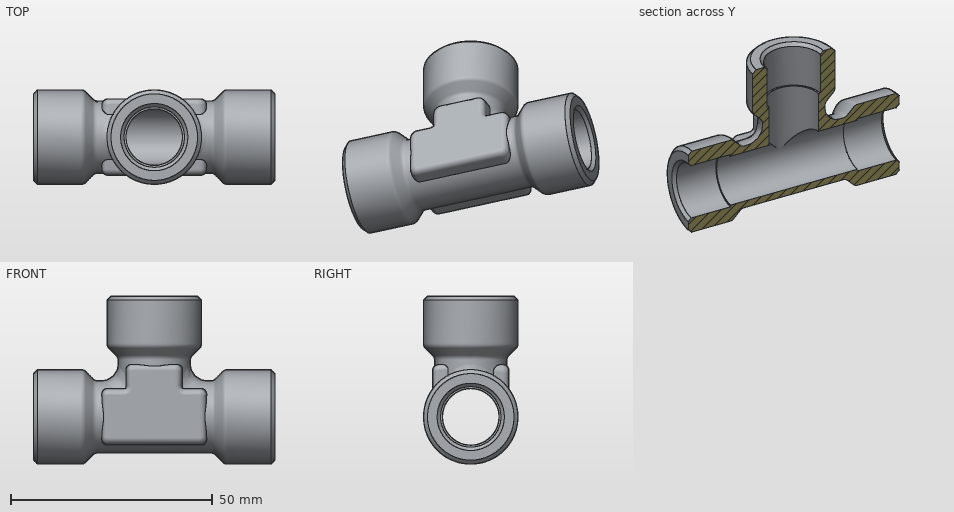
import cadquery as cq
import math

port_reach = 30.0
collar_radius = 11.75
collar_length = 12.5
collar_chamfer = 1.0
neck_radius = 9.0
cone_angle = 45.0
cone_blend_radius = 1.5

crotch_radius = 4.0
crotch_half_width = 8.0

bore_radius = 7.0
socket_radius = 7.5
socket_depth = 12.0
mouth_chamfer = 0.85

pad_face_distance = 9.5
pad_reach = 12.85
pad_shoulder = 6.7
pad_draft_angle = 5.0
pad_edge_radius = 1.5
front_corner_radius = 1.5
back_corner_radius = 2.0

pick_margin = 1.0


def on_each_port(solid):
    """Copy a solid lying along +Z to the branch and to both ends of the run."""
    origin = (0, 0, 0)
    y_axis = (0, 1, 0)
    return [solid.rotate(origin, y_axis, angle) for angle in (-90, 0, 90)]


def turn_about_z(profile):
    """Close a half profile drawn in the XZ plane and turn it about Z."""
    return profile.close().revolve(360, (0, 0, 0), (0, 1, 0))


def make_necks():
    """Crossing necks with a blended crotch between run and branch."""
    neck_end = port_reach - collar_length
    run = cq.Workplane("YZ").circle(neck_radius).extrude(neck_end, both=True)
    branch = cq.Workplane("XY").circle(neck_radius).extrude(neck_end)
    crossing = run.union(branch)

    slice_size = 2 * neck_end
    core = crossing.intersect(
        cq.Workplane("XY").box(slice_size, 2 * crotch_half_width, slice_size)
    )
    pick_reach = neck_radius + pick_margin
    pick_half_width = crotch_half_width - pick_margin
    seam = core.edges(cq.selectors.BoxSelector(
        (-pick_reach, -pick_half_width, pick_margin),
        (pick_reach, pick_half_width, pick_reach),
    ))
    return crossing.union(seam.fillet(crotch_radius))


def make_collar():
    """Collar with a cone that blends smoothly into it and into the neck."""
    slope = math.radians(cone_angle)
    cone_start = port_reach - collar_length
    cone_end = cone_start - (collar_radius - neck_radius) / math.tan(slope)

    tangent = cone_blend_radius * math.tan(slope / 2)
    tangent_out = tangent * math.sin(slope)
    tangent_up = tangent * math.cos(slope)
    middle_out = cone_blend_radius * (1 - math.cos(slope / 2))
    middle_up = cone_blend_radius * math.sin(slope / 2)
    neck_tangent = cone_end - tangent
    collar_tangent = cone_start + tangent

    profile = (
        cq.Workplane("XZ")
        .moveTo(0, neck_tangent)
        .lineTo(neck_radius, neck_tangent)
        .threePointArc(
            (neck_radius + middle_out, neck_tangent + middle_up),
            (neck_radius + tangent_out, cone_end + tangent_up),
        )
        .lineTo(collar_radius - tangent_out, cone_start - tangent_up)
        .threePointArc(
            (collar_radius - middle_out, collar_tangent - middle_up),
            (collar_radius, collar_tangent),
        )
        .lineTo(collar_radius, port_reach - collar_chamfer)
        .lineTo(collar_radius - collar_chamfer, port_reach)
        .lineTo(0, port_reach)
    )
    return turn_about_z(profile)


def make_bore():
    """Bore from the centre of the tee, wider socket and chamfered mouth of one port."""
    profile = (
        cq.Workplane("XZ")
        .lineTo(bore_radius, 0)
        .lineTo(bore_radius, port_reach - socket_depth)
        .lineTo(socket_radius, port_reach - socket_depth)
        .lineTo(socket_radius, port_reach - mouth_chamfer)
        .lineTo(socket_radius + mouth_chamfer, port_reach)
        .lineTo(0, port_reach)
    )
    return turn_about_z(profile)


def make_pad(corner_radius):
    """Inverted-T pad on the -Y flank, narrowing from the mid plane to its flat face."""
    spread = pad_face_distance * math.tan(math.radians(pad_draft_angle))
    reach = pad_reach + spread
    shoulder = pad_shoulder + spread
    pad = (
        cq.Workplane("XZ")
        .polyline([
            (-reach, -shoulder),
            (reach, -shoulder),
            (reach, shoulder),
            (shoulder, shoulder),
            (shoulder, reach),
            (-shoulder, reach),
            (-shoulder, shoulder),
            (-reach, shoulder),
        ])
        .close()
        .extrude(pad_face_distance, taper=pad_draft_angle)
    )

    across = cq.selectors.StringSyntaxSelector("not(#Y)")
    inner_corners = cq.selectors.BoxSelector(
        (-shoulder - pick_margin, -pad_face_distance, pad_shoulder - pick_margin),
        (shoulder + pick_margin, 0, shoulder + pick_margin),
    )
    outer_corners = cq.selectors.SubtractSelector(across, inner_corners)
    pad = pad.edges(outer_corners).fillet(corner_radius)
    return pad.faces("<Y").edges().fillet(pad_edge_radius)


body = make_necks()
for collar in on_each_port(make_collar()):
    body = body.union(collar)
body = body.union(make_pad(front_corner_radius))
body = body.union(make_pad(back_corner_radius).mirror("XZ"))
for bore in on_each_port(make_bore()):
    body = body.cut(bore)
result = body.solids()